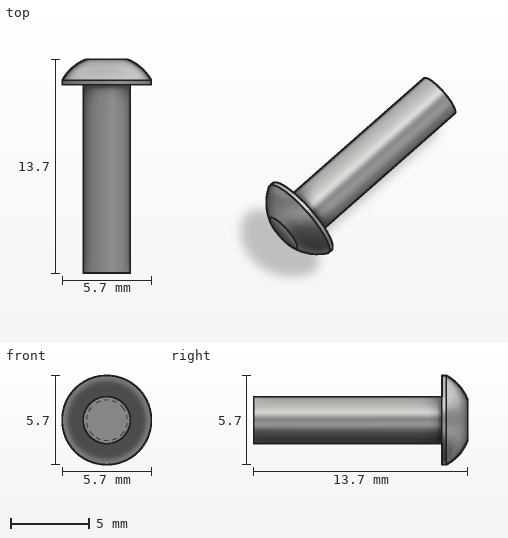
import cadquery as cq
import math

total_length = 13.65
shank_length = 12.0
shank_radius = 1.5
head_radius = 2.85
rim_height = 0.29
crown_radius = 1.3
dome_arc_radius = 3.0

rim_top = shank_length + rim_height

chord_x = crown_radius - head_radius
chord_y = total_length - rim_top
chord = math.hypot(chord_x, chord_y)
sagitta = dome_arc_radius - math.sqrt(dome_arc_radius**2 - (chord / 2)**2)
dome_mid = (
    (head_radius + crown_radius) / 2 + sagitta * chord_y / chord,
    (rim_top + total_length) / 2 - sagitta * chord_x / chord,
)

result = (
    cq.Workplane("XY")
    .lineTo(shank_radius, 0)
    .lineTo(shank_radius, shank_length)
    .lineTo(head_radius, shank_length)
    .lineTo(head_radius, rim_top)
    .threePointArc(dome_mid, (crown_radius, total_length))
    .lineTo(0, total_length)
    .close()
    .revolve(360, (0, 0, 0), (0, 1, 0))
)